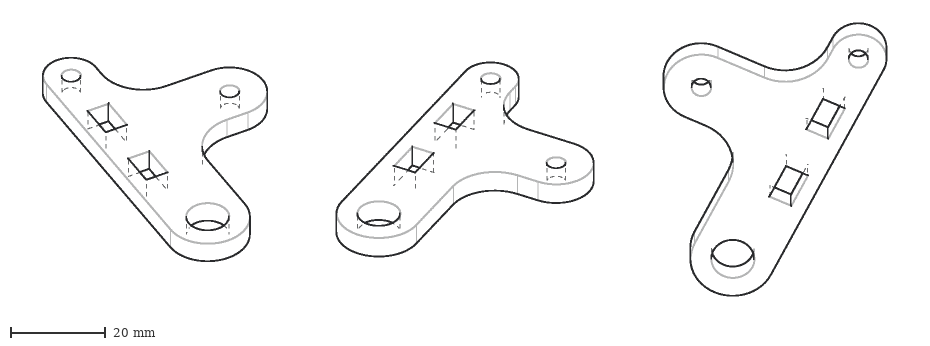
import cadquery as cq
import math


length = 70.0
height = 41.0
thickness = 5.0

left_radius = 6.0
right_radius = 9.0
arm_radius = 8.0

left_x = left_radius
left_y = left_radius
right_x = length - right_radius
right_y = right_radius
arm_x = 26.6
arm_y = height - arm_radius

left_corner_radius = 10.0
right_corner_radius = 10.0

small_hole_diameter = 4.0
large_hole_diameter = 9.0

window_width = 8.0
window_height = 5.0
first_window_x = 22.0
window_pitch = 18.0
window_count = 2

edge_radius = 0.15


def make_plate():
    """Extrude the outline: straight edges, round lobes and round inside corners."""
    diagonal = math.sqrt(0.5)
    arm_left = arm_x - arm_radius
    arm_right = arm_x + arm_radius
    left_top = 2 * left_radius
    right_top = 2 * right_radius

    left_corner_x = arm_left - left_corner_radius
    left_corner_y = left_top + left_corner_radius
    right_corner_x = arm_right + right_corner_radius
    right_corner_y = right_top + right_corner_radius

    left_corner_middle = (
        left_corner_x + diagonal * left_corner_radius,
        left_corner_y - diagonal * left_corner_radius,
    )
    right_corner_middle = (
        right_corner_x - diagonal * right_corner_radius,
        right_corner_y - diagonal * right_corner_radius,
    )

    return (
        cq.Workplane("XY")
        .moveTo(left_x, 0)
        .lineTo(right_x, 0)
        .threePointArc((length, right_y), (right_x, right_top))
        .lineTo(right_corner_x, right_top)
        .threePointArc(right_corner_middle, (arm_right, right_corner_y))
        .lineTo(arm_right, arm_y)
        .threePointArc((arm_x, height), (arm_left, arm_y))
        .lineTo(arm_left, left_corner_y)
        .threePointArc(left_corner_middle, (left_corner_x, left_top))
        .lineTo(left_x, left_top)
        .threePointArc((0, left_y), (left_x, 0))
        .close()
        .extrude(thickness)
    )


def make_holes():
    """Cylinders for the three lobe holes."""
    small_holes = (
        cq.Workplane("XY")
        .pushPoints([(left_x, left_y), (arm_x, arm_y)])
        .circle(small_hole_diameter / 2)
        .extrude(thickness)
    )
    large_hole = (
        cq.Workplane("XY")
        .center(right_x, right_y)
        .circle(large_hole_diameter / 2)
        .extrude(thickness)
    )
    return small_holes.union(large_hole)


def make_windows():
    """Blocks for the row of rectangular windows in the base."""
    centers = [(first_window_x + i * window_pitch, left_y) for i in range(window_count)]
    return (
        cq.Workplane("XY")
        .pushPoints(centers)
        .rect(window_width, window_height)
        .extrude(thickness)
    )


def round_edges(body):
    """Round all outline, hole and window edges on the two flat faces."""
    return body.faces("<Z or >Z").edges().fillet(edge_radius)


result = round_edges(make_plate().cut(make_holes()).cut(make_windows()))